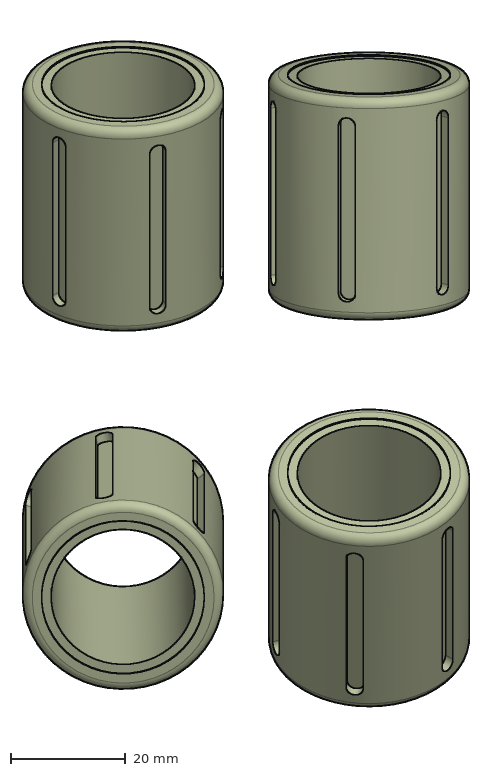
import cadquery as cq

height = 40.0
outer_diameter = 35.0
bore_diameter = 25.0
recess_depth = 0.25
slot_count = 6
slot_width = 3.0
slot_length = 33.0
slot_floor_radius = 15.8

outer_radius = outer_diameter / 2
bore_radius = bore_diameter / 2
band = (outer_radius - bore_radius) / 3
recess_radius = bore_radius + band


def sleeve():
    """Tube centred on Z, with both outer rims rounded."""
    body = cq.Workplane("XY").circle(outer_radius).extrude(height)
    body = body.faces("<Z or >Z").edges().fillet(band)
    bore = cq.Workplane("XY").circle(bore_radius).extrude(height)
    return body.cut(bore)


def end_recess(floor_height):
    """Shallow counterbore that leaves a ledge around the bore."""
    return cq.Workplane("XY").workplane(offset=floor_height).circle(recess_radius).extrude(recess_depth)


def slot_cutter():
    """Upright round-ended slot on the -Y side, with a flat floor."""
    return (
        cq.Workplane("XZ", origin=(0, -slot_floor_radius, height / 2))
        .slot2D(slot_length, slot_width, 90)
        .extrude(outer_radius - slot_floor_radius)
    )


result = sleeve()

for floor_height in (0, height - recess_depth):
    result = result.cut(end_recess(floor_height))

for index in range(slot_count):
    angle = index * 360 / slot_count
    result = result.cut(slot_cutter().rotate((0, 0, 0), (0, 0, 1), angle))